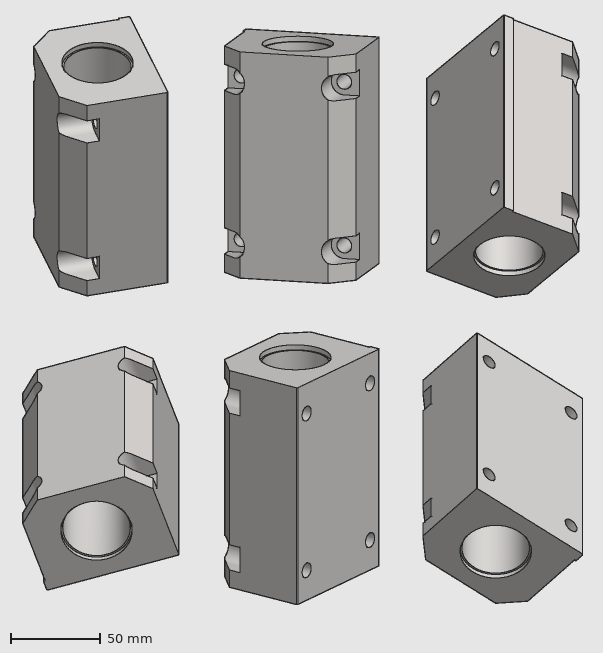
import cadquery as cq

width = 78.0
depth = 60.0
length = 130.0

ledge_step = 1.0
ledge_thickness = 6.5
front_chamfer = 12.7
back_chamfer = 0.5

bore_diameter = 38.0
counterbore_diameter = 40.0
counterbore_depth = 2.3

hole_diameter = 8.6
hole_spacing_x = 60.0
hole_spacing_z = 94.0
pocket_width = 15.1
pocket_depth = 20.0

right_x = width / 2
left_x = -right_x
body_left_x = left_x + ledge_step
back_y = depth / 2
front_y = -back_y


def make_block():
    """Extrude the chamfered cross-section, including the ledge."""
    outline = [
        (body_left_x + front_chamfer, front_y),
        (right_x - front_chamfer, front_y),
        (right_x, front_y + front_chamfer),
        (right_x, back_y - back_chamfer),
        (right_x - back_chamfer, back_y),
        (left_x + back_chamfer, back_y),
        (left_x, back_y - back_chamfer),
        (left_x, back_y - ledge_thickness),
        (body_left_x, back_y - ledge_thickness),
        (body_left_x, front_y + front_chamfer),
    ]
    return cq.Workplane("XY").polyline(outline).close().extrude(length / 2, both=True)


def make_bore():
    """Through bore joined with the counterbores at both ends."""
    bore = cq.Workplane("XY").circle(bore_diameter / 2).extrude(length / 2, both=True)
    for end_z, inward in ((length / 2, -1.3), (-length / 2, 1.3)):
        counterbore = (
            cq.Workplane("XY", origin=(0, 0, end_z))
            .circle(counterbore_diameter / 2)
            .extrude(inward * counterbore_depth)
        )
        bore = bore.union(counterbore)
    return bore


def make_mounting_cut(side, z):
    """Hole and round-ended pocket; side is -1 for -X and +1 for +X."""
    hole_x = side * hole_spacing_x / 2
    pocket_radius = pocket_width / 2
    outer_x = side * width / 2
    front_plane = cq.Workplane("XZ", origin=(0, front_y, 0))
    hole = front_plane.center(hole_x, z).circle(hole_diameter / 2).extrude(-depth)
    pocket = (
        front_plane.moveTo(outer_x, z + pocket_radius)
        .lineTo(hole_x, z + pocket_radius)
        .threePointArc((hole_x - side * pocket_radius, z), (hole_x, z - pocket_radius))
        .lineTo(outer_x, z - pocket_radius)
        .close()
        .extrude(-pocket_depth)
    )
    return hole.union(pocket)


result = make_block().cut(make_bore())
for side in (-1, 1):
    for z in (-hole_spacing_z / 2, hole_spacing_z / 2):
        result = result.cut(make_mounting_cut(side, z))